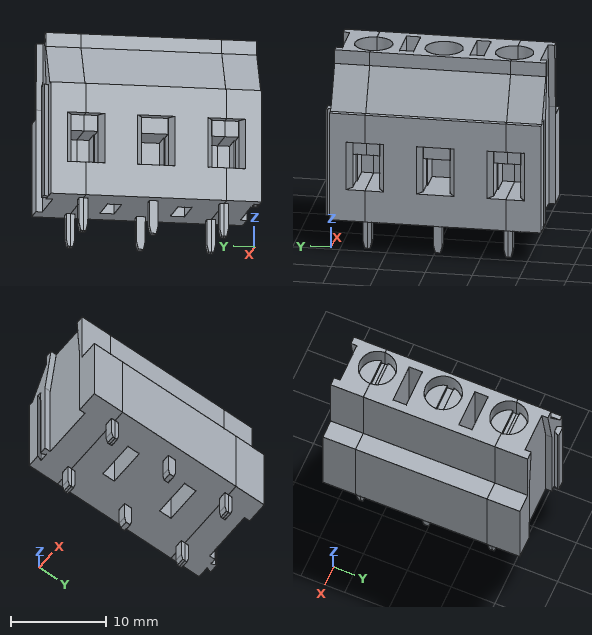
import cadquery as cq

POLE_COUNT = 3
OVERALL_LENGTH = 23.1
TONGUE_LENGTH = 0.6
LENGTH = OVERALL_LENGTH - TONGUE_LENGTH
PITCH = LENGTH / POLE_COUNT
POLE_CENTERS = [(pole + 0.5) * PITCH for pole in range(POLE_COUNT)]

DEPTH = 11.2
HEIGHT = 18.0
SHELF_HEIGHT = 12.0
SHELF_DEPTH = 0.53
SLOPE_TOP_HEIGHT = 16.47
TOP_FRONT_X = 2.9
TOP_BACK_X = 9.12
STEP_HEIGHT = 10.0

RECESS_DEPTH = 0.7
RECESS_FRONT_X = 2.73
RECESS_BACK_X = 8.69
RECESS_TOP_FRONT_X = 3.77
RECESS_TOP_BACK_X = 8.2
RECESS_BACK_KNEE = 10.93

SLOT_FRONT_X = 3.93
SLOT_BACK_X = RECESS_TOP_BACK_X
SLOT_WIDTH = 1.5

SCREW_X = 5.35
SCREW_DIAMETER = 4.0
SCREW_SINK = 2.0
DRIVE_SLOT_WIDTH = 0.76
DRIVE_SLOT_DEPTH = 0.5

ENTRY_FLOOR = 3.5
ENTRY_TOP = 8.82
ENTRY_WIDTH = 4.0
FUNNEL_END_X = 0.83
THROAT_WIDTH = 2.86
TALL_THROAT_END_X = 1.09
CLAMP_TOP = 7.11
THROAT_END_X = 2.75
CLAMP_WIDTH = 2.59
CLAMP_END_X = SCREW_X

PIN_FRONT_X = 1.45
PIN_ROW_SPACING = PITCH
PIN_THICKNESS = 0.95
PIN_WIDTH = 0.92
PIN_LENGTH = 3.5
PIN_TIP_WIDTH = 0.55
PIN_TIP_LENGTH = 0.79

JOINT_X = 1.7
JOINT_LIP = 0.16
JOINT_FLARE = 0.2
TONGUE_WIDTH = 1.06
GROOVE_WIDTH = 0.5


def box(x_range, y_range, z_range):
    """Box between the two given limits on each axis."""
    (x0, x1), (y0, y1), (z0, z1) = x_range, y_range, z_range
    return cq.Workplane("XY").box(x1 - x0, y1 - y0, z1 - z0, centered=False).translate((x0, y0, z0))


def around(center, width):
    """Limits of a span with the given width about a center."""
    return center - width / 2, center + width / 2


def extrude_along_y(outline, y_start, length):
    """Prism of an XZ outline, running toward +Y from y_start."""
    return cq.Workplane("XZ", origin=(0, y_start, 0)).polyline(outline).close().extrude(-length)


def housing_blank():
    outline = [
        (0, 0),
        (DEPTH, 0),
        (DEPTH, STEP_HEIGHT),
        (TOP_BACK_X, STEP_HEIGHT),
        (TOP_BACK_X, HEIGHT),
        (TOP_FRONT_X, HEIGHT),
        (TOP_FRONT_X, SLOPE_TOP_HEIGHT),
        (SHELF_DEPTH, SHELF_HEIGHT),
        (0, SHELF_HEIGHT),
    ]
    return extrude_along_y(outline, 0, LENGTH)


def end_recess(y_start):
    outline = [
        (RECESS_FRONT_X, 0),
        (RECESS_BACK_X, 0),
        (RECESS_BACK_X, RECESS_BACK_KNEE),
        (RECESS_TOP_BACK_X, HEIGHT),
        (RECESS_TOP_FRONT_X, HEIGHT),
        (RECESS_FRONT_X, SHELF_HEIGHT),
    ]
    return extrude_along_y(outline, y_start, RECESS_DEPTH)


def between_pole_slot(y_center):
    return box((SLOT_FRONT_X, SLOT_BACK_X), around(y_center, SLOT_WIDTH), (0, HEIGHT))


def screw_hole(y_center):
    """Sunken round hole above the screw head, with the drive slot cut below it."""
    head_height = HEIGHT - SCREW_SINK
    slot_floor = head_height - DRIVE_SLOT_DEPTH
    shaft = cq.Workplane("XY", origin=(SCREW_X, y_center, slot_floor)).circle(SCREW_DIAMETER / 2)
    shaft = shaft.extrude(HEIGHT - slot_floor)
    x_range = around(SCREW_X, SCREW_DIAMETER)
    y_low, y_high = around(y_center, SCREW_DIAMETER)
    slot_low, slot_high = around(y_center, DRIVE_SLOT_WIDTH)
    head_z = (slot_floor, head_height)
    head_sides = box(x_range, (y_low, slot_low), head_z).union(box(x_range, (slot_high, y_high), head_z))
    return shaft.cut(head_sides)


def wire_entry(y_center):
    mouth_low, mouth_high = around(y_center, ENTRY_WIDTH)
    throat = around(y_center, THROAT_WIDTH)
    throat_low, throat_high = throat
    mouth_outline = [
        (0, mouth_low),
        (FUNNEL_END_X, throat_low),
        (TALL_THROAT_END_X, throat_low),
        (TALL_THROAT_END_X, throat_high),
        (FUNNEL_END_X, throat_high),
        (0, mouth_high),
    ]
    mouth = cq.Workplane("XY", origin=(0, 0, ENTRY_FLOOR)).polyline(mouth_outline).close()
    mouth = mouth.extrude(ENTRY_TOP - ENTRY_FLOOR)
    clamp_z = (ENTRY_FLOOR, CLAMP_TOP)
    low_throat = box((FUNNEL_END_X, THROAT_END_X), throat, clamp_z)
    clamp_slot = box((FUNNEL_END_X, CLAMP_END_X), around(y_center, CLAMP_WIDTH), clamp_z)
    return mouth.union(low_throat).union(clamp_slot)


def pin(x_start, y_center):
    """Flat pin below the housing, narrowing in Y toward its tip."""
    low, high = around(y_center, PIN_WIDTH)
    tip_low, tip_high = around(y_center, PIN_TIP_WIDTH)
    taper_start = PIN_TIP_LENGTH - PIN_LENGTH
    outline = [
        (low, 0),
        (low, taper_start),
        (tip_low, -PIN_LENGTH),
        (tip_high, -PIN_LENGTH),
        (high, taper_start),
        (high, 0),
    ]
    return cq.Workplane("YZ", origin=(x_start, 0, 0)).polyline(outline).close().extrude(PIN_THICKNESS)


def joint_rib(width, inner_width, y_outside, inward):
    """Upright rib with a straight lip at y_outside; inward is the Y direction (+1 or -1) it runs in."""
    low, high = around(JOINT_X, width)
    inner_low, inner_high = around(JOINT_X, inner_width)
    y_lip = y_outside + inward * JOINT_LIP
    y_inside = y_outside + inward * TONGUE_LENGTH
    outline = [
        (low, y_outside),
        (high, y_outside),
        (high, y_lip),
        (inner_high, y_inside),
        (inner_low, y_inside),
        (low, y_lip),
    ]
    return cq.Workplane("XY").polyline(outline).close().extrude(SHELF_HEIGHT)


def joint_groove():
    """Groove that widens into the housing."""
    return joint_rib(GROOVE_WIDTH, GROOVE_WIDTH + 2 * JOINT_FLARE, 0, 1)


def joint_tongue():
    """Tongue that narrows toward the housing."""
    return joint_rib(TONGUE_WIDTH, TONGUE_WIDTH - 2 * JOINT_FLARE, OVERALL_LENGTH, -1)


def pole_row():
    """Full row of poles, before it is divided and before the joint is added."""
    row = housing_blank()
    row = row.cut(end_recess(0)).cut(end_recess(LENGTH - RECESS_DEPTH))
    for gap in range(1, POLE_COUNT):
        row = row.cut(between_pole_slot(gap * PITCH))
    for y_center in POLE_CENTERS:
        row = row.cut(screw_hole(y_center)).cut(wire_entry(y_center))
        for x_start in (PIN_FRONT_X, PIN_FRONT_X + PIN_ROW_SPACING):
            row = row.union(pin(x_start, y_center))
    return row


def section(row, y_start, y_end):
    """Part of the row between two Y limits."""
    return row.intersect(box((0, DEPTH), (y_start, y_end), (-PIN_LENGTH, HEIGHT)))


FIRST_SEAM = POLE_CENTERS[0]
LAST_SEAM = POLE_CENTERS[-1]


def grooved_end(row):
    return section(row, 0, FIRST_SEAM).cut(joint_groove())


def middle(row):
    return section(row, FIRST_SEAM, LAST_SEAM)


def tongued_end(row):
    return section(row, LAST_SEAM, LENGTH).union(joint_tongue())


full_row = pole_row()
grooved_end_body = grooved_end(full_row)
middle_body = middle(full_row)
tongued_end_body = tongued_end(full_row)

result = cq.Compound.makeCompound([
    grooved_end_body.solids().val(),
    middle_body.solids().val(),
    tongued_end_body.solids().val(),
])